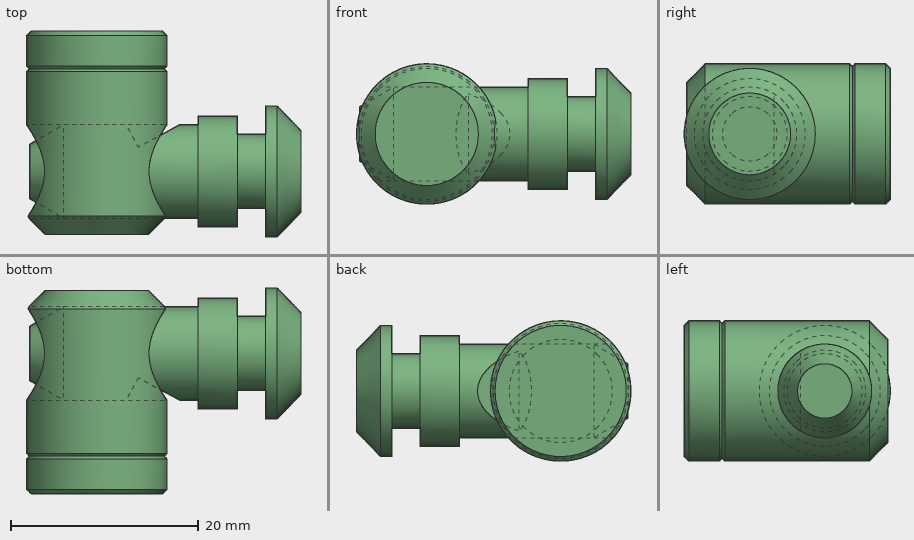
import cadquery as cq
import math

housing_radius = 7.5
housing_back_y = 15.0
housing_front_y = -6.75
front_chamfer = 2.0
back_chamfer = 0.5
groove_y = 10.95
groove_depth = 0.3

pin_radius = 5.0
tip_x = -7.18
tip_radius = 2.9
tip_angle = 30
collar_radius = 5.92
collar_start_x = 10.8
collar_end_x = 15.0
neck_radius = 3.98
head_radius = 7.0
head_start_x = 18.02
head_taper_x = 19.25
head_end_x = 21.8
head_end_radius = 4.37

ramp_angle = 28.5
ramp_top_x = 8.88
ramp_bottom_x = ramp_top_x / 2


def make_housing():
    profile = [
        (0, housing_front_y),
        (housing_radius - front_chamfer, housing_front_y),
        (housing_radius, housing_front_y + front_chamfer),
        (housing_radius, groove_y - groove_depth),
        (housing_radius - groove_depth, groove_y),
        (housing_radius, groove_y + groove_depth),
        (housing_radius, housing_back_y - back_chamfer),
        (housing_radius - back_chamfer, housing_back_y),
        (0, housing_back_y),
    ]
    bar = cq.Workplane("XY").polyline(profile).close().revolve(360, (0, 0), (0, 1))
    cross_hole = cq.Workplane("YZ").circle(pin_radius).extrude(housing_radius, both=True)
    return bar.cut(cross_hole)


def make_notch():
    slope = math.tan(math.radians(ramp_angle))
    bottom_y = pin_radius - (ramp_top_x - ramp_bottom_x) * slope
    rise = head_radius - bottom_y
    profile = [
        (ramp_bottom_x, bottom_y),
        (ramp_bottom_x + rise / slope, head_radius),
        (ramp_bottom_x - rise * slope, head_radius),
    ]
    wedge = cq.Workplane("XY").polyline(profile).close().extrude(pin_radius, both=True)
    keep_length = 2 * collar_start_x
    keep_width = 2 * head_radius
    return wedge.intersect(cq.Workplane("XY").box(keep_length, keep_width, keep_width))


def make_pin():
    tip_length = (pin_radius - tip_radius) / math.tan(math.radians(tip_angle))
    profile = [
        (tip_x, 0),
        (tip_x, tip_radius),
        (tip_x + tip_length, pin_radius),
        (collar_start_x, pin_radius),
        (collar_start_x, collar_radius),
        (collar_end_x, collar_radius),
        (collar_end_x, neck_radius),
        (head_start_x, neck_radius),
        (head_start_x, head_radius),
        (head_taper_x, head_radius),
        (head_end_x, head_end_radius),
        (head_end_x, 0),
    ]
    turned = cq.Workplane("XY").polyline(profile).close().revolve(360, (0, 0), (1, 0))
    return turned.cut(make_notch())


housing = make_housing()
pin = make_pin()
result = cq.Compound.makeCompound([housing.val(), pin.val()])